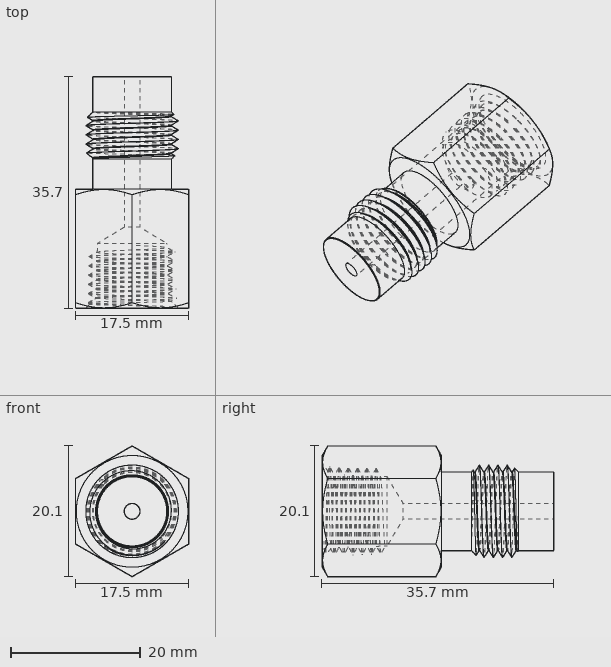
import cadquery as cq
import math

total_length = 35.7
hex_length = 18.35
across_flats = 17.45

chamfer_face_diameter = 17.2
chamfer_angle = 30.0

stem_diameter = 12.17
stem_end_chamfer = 0.1
flow_hole_diameter = 2.4

pitch = 1.43
coil_gap = 0.05
tip_flat = 0.05
overlap = 0.07
CYLINDER = 360.0

male_major_diameter = 14.2
male_start = 23.0
male_end = 30.2
male_crest_at_x = 23.13

mouth_diameter = 14.28
bore_mouth_diameter = 11.28
bore_depth = 10.0
taper_slope = 1 / 32
taper_half_angle = math.degrees(math.atan(taper_slope))
female_groove_depth = 1.2
female_thread_length = 10.35
female_start = -1.32
drill_point_angle = 118.0


def revolve_profile(points):
    """Solid of revolution about Y from (radius, y) points."""
    return cq.Workplane("XY").polyline(points).close().revolve(360, (0, 0), (0, 1))


def thread_coil(surface_radius, height, start_y, length, half_angle=CYLINDER):
    """Right-handed V-shaped coil around Y, rooted just inside surface_radius."""
    root_radius = surface_radius - overlap
    tip_radius = surface_radius + height
    half_root = (pitch - coil_gap) / 2
    half_tip = tip_flat / 2
    helix = cq.Wire.makeHelix(pitch, length, root_radius, angle=half_angle)
    profile = (
        cq.Workplane("XZ")
        .polyline([
            (root_radius, -half_root),
            (tip_radius, -half_tip),
            (tip_radius, half_tip),
            (root_radius, half_root),
        ])
        .close()
    )
    coil = profile.sweep(cq.Workplane(helix), isFrenet=True)
    return coil.rotate((0, 0, 0), (1, 0, 0), -90).translate((0, start_y, 0))


def hexagon():
    """Hexagonal body with corners on Z and both ends turned to a chamfer."""
    corner_radius = across_flats / math.sqrt(3)
    face_radius = chamfer_face_diameter / 2
    chamfer_length = (corner_radius - face_radius) * math.tan(math.radians(chamfer_angle))
    prism = (
        cq.Workplane("XZ")
        .polygon(6, 2 * corner_radius)
        .extrude(-hex_length)
        .rotate((0, 0, 0), (0, 1, 0), 30)
    )
    envelope = revolve_profile([
        (0, 0),
        (face_radius, 0),
        (corner_radius, chamfer_length),
        (corner_radius, hex_length - chamfer_length),
        (face_radius, hex_length),
        (0, hex_length),
    ])
    return prism.intersect(envelope)


def stem():
    """Plain round stem, broken at its free edge."""
    radius = stem_diameter / 2
    return revolve_profile([
        (0, hex_length - 0.35),
        (radius, hex_length - 0.35),
        (radius, total_length - stem_end_chamfer),
        (radius - stem_end_chamfer, total_length),
        (0, total_length),
    ])


def male_thread():
    """Thread ridge on the stem, turned down at 45 degrees at both ends."""
    root_radius = stem_diameter / 2
    height = (male_major_diameter - stem_diameter) / 2
    coil_length = male_end - male_start + pitch
    coil = thread_coil(root_radius, height, male_crest_at_x - pitch, coil_length + pitch)
    inner_radius = root_radius - 2 * overlap
    clear_radius = root_radius + height + 0.35
    envelope = revolve_profile([
        (inner_radius, male_start),
        (root_radius, male_start),
        (clear_radius, male_start + clear_radius - root_radius),
        (clear_radius, male_end - clear_radius + root_radius),
        (root_radius, male_end),
        (inner_radius, male_end),
    ])
    return coil.intersect(envelope)


def bore():
    """Tapered bore with a 45 degree mouth, a drill point and the flow hole."""
    mouth_radius = mouth_diameter / 2
    bore_radius = bore_mouth_diameter / 2
    end_radius = bore_radius - bore_depth * taper_slope
    hole_radius = flow_hole_diameter / 2
    point_length = (end_radius - hole_radius) / math.tan(math.radians(drill_point_angle / 2))
    return revolve_profile([
        (0, 0),
        (mouth_radius, 0),
        (bore_radius, mouth_radius - bore_radius),
        (end_radius, bore_depth),
        (hole_radius, bore_depth + point_length),
        (hole_radius, total_length),
        (0, total_length),
    ])


def female_groove():
    """Tapered helical groove following the wall of the bore."""
    start_radius = bore_mouth_diameter / 2 - female_start * taper_slope
    return thread_coil(
        start_radius, female_groove_depth, female_start, female_thread_length, -taper_half_angle
    )


body = hexagon().cut(female_groove())
result = body.union(stem()).union(male_thread()).cut(bore())